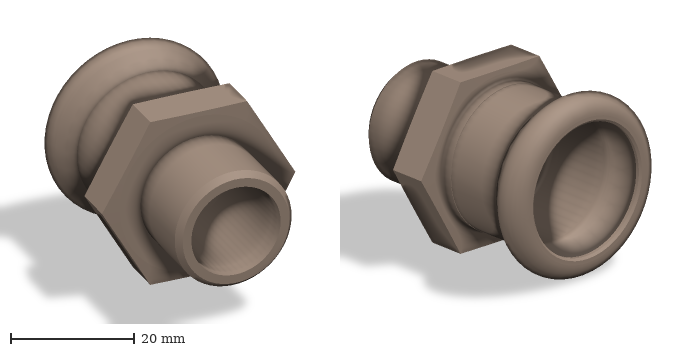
import cadquery as cq
import math

total_length = 42.4
lip_end = 0.98
neck_start = 19.05
hex_start = 21.0
hex_end = 28.1

bead_diameter = 31.67
tube_diameter = 25.3
neck_diameter = 25.5
spigot_diameter = 20.95
mouth_diameter = 24.0
lip_diameter = 23.2
tube_bore = 22.4
neck_bore = 22.5
through_bore = 16.0

bead_radius = 3.15
wall = (tube_diameter - tube_bore) / 2
groove_radius = bead_radius - wall
bead_centre_x = bead_radius
bead_centre_r = bead_diameter / 2 - bead_radius
cone_angle = math.radians(39.3)

hex_across_corners = 34.65
hex_face_diameter = 28.4
hex_chamfer_depth = 0.15

mouth_bevel_length = 0.35
neck_fillet = 0.45
floor_fillet = 0.6
bore_chamfer = 1.3
spigot_chamfer_length = 1.1
spigot_chamfer_height = 0.95
throat_blend = 1.5


def bead_point(radius, angle):
    """Point at the given angle from +X on a circle about the bead centre."""
    return (bead_centre_x + radius * math.cos(angle), bead_centre_r + radius * math.sin(angle))


def cone_end_x(start, end_radius):
    """X where the bead cone, falling from start, reaches end_radius."""
    return start[0] + (start[1] - end_radius) / math.tan(cone_angle)


def revolve_about_x(profile):
    return profile.close().revolve(360, (0, 0, 0), (1, 0, 0))


def make_body():
    """Solid outside shape: bead, tube, neck and spigot."""
    cone_start = bead_point(bead_radius, math.pi / 2 - cone_angle)
    tube_radius = tube_diameter / 2
    neck_radius = neck_diameter / 2
    spigot_radius = spigot_diameter / 2
    fillet_mid = neck_fillet * math.sqrt(0.5)
    profile = (
        cq.Workplane("XY")
        .lineTo(0, bead_centre_r)
        .threePointArc(bead_point(bead_radius, math.pi / 2), cone_start)
        .lineTo(cone_end_x(cone_start, tube_radius), tube_radius)
        .lineTo(neck_start, tube_radius)
        .lineTo(neck_start, neck_radius)
        .lineTo(hex_start - neck_fillet, neck_radius)
        .threePointArc(
            (hex_start - neck_fillet + fillet_mid, neck_radius + neck_fillet - fillet_mid),
            (hex_start, neck_radius + neck_fillet),
        )
        .lineTo(hex_start, spigot_radius)
        .lineTo(total_length - spigot_chamfer_length, spigot_radius)
        .lineTo(total_length, spigot_radius - spigot_chamfer_height)
        .lineTo(total_length, 0)
    )
    return revolve_about_x(profile)


def make_hexagon():
    """Hexagon with flats facing +/-Z and its corners relieved by a shallow cone on both faces."""
    prism = (
        cq.Workplane("YZ", origin=(hex_start, 0, 0))
        .polygon(6, hex_across_corners)
        .extrude(hex_end - hex_start)
    )
    corner_radius = hex_across_corners / 2
    face_radius = hex_face_diameter / 2
    envelope = (
        cq.Workplane("XY")
        .moveTo(hex_start, 0)
        .lineTo(hex_start, face_radius)
        .lineTo(hex_start + hex_chamfer_depth, corner_radius)
        .lineTo(hex_end - hex_chamfer_depth, corner_radius)
        .lineTo(hex_end, face_radius)
        .lineTo(hex_end, 0)
    )
    return prism.intersect(revolve_about_x(envelope))


def make_cavity():
    """Inside shape: bevelled mouth, sealing groove, socket and through bore."""
    mouth_radius = mouth_diameter / 2
    lip_radius = lip_diameter / 2
    socket_radius = tube_bore / 2
    neck_bore_radius = neck_bore / 2
    bore_radius = through_bore / 2
    cone_start = bead_point(groove_radius, math.pi / 2 - cone_angle)
    throat_x = cone_end_x(cone_start, socket_radius)

    tangent_length = throat_blend * math.tan(cone_angle / 2)
    blend_end_x = throat_x + tangent_length
    blend_start = (
        throat_x - tangent_length * math.cos(cone_angle),
        socket_radius + tangent_length * math.sin(cone_angle),
    )
    blend_mid = (
        blend_end_x - throat_blend * math.sin(cone_angle / 2),
        socket_radius + throat_blend * (1 - math.cos(cone_angle / 2)),
    )
    floor_mid = floor_fillet * (1 - math.sqrt(0.5))
    profile = (
        cq.Workplane("XY")
        .lineTo(0, mouth_radius)
        .lineTo(mouth_bevel_length, lip_radius)
        .lineTo(lip_end, lip_radius)
        .lineTo(*bead_point(groove_radius, math.pi))
        .threePointArc(bead_point(groove_radius, math.pi / 2), cone_start)
        .lineTo(*blend_start)
        .threePointArc(blend_mid, (blend_end_x, socket_radius))
        .lineTo(neck_start, socket_radius)
        .lineTo(neck_start, neck_bore_radius)
        .lineTo(hex_start - floor_fillet, neck_bore_radius)
        .threePointArc(
            (hex_start - floor_mid, neck_bore_radius - floor_mid),
            (hex_start, neck_bore_radius - floor_fillet),
        )
        .lineTo(hex_start, bore_radius + bore_chamfer)
        .lineTo(hex_start + bore_chamfer, bore_radius)
        .lineTo(total_length, bore_radius)
        .lineTo(total_length, 0)
    )
    return revolve_about_x(profile)


result = make_body().union(make_hexagon()).cut(make_cavity())